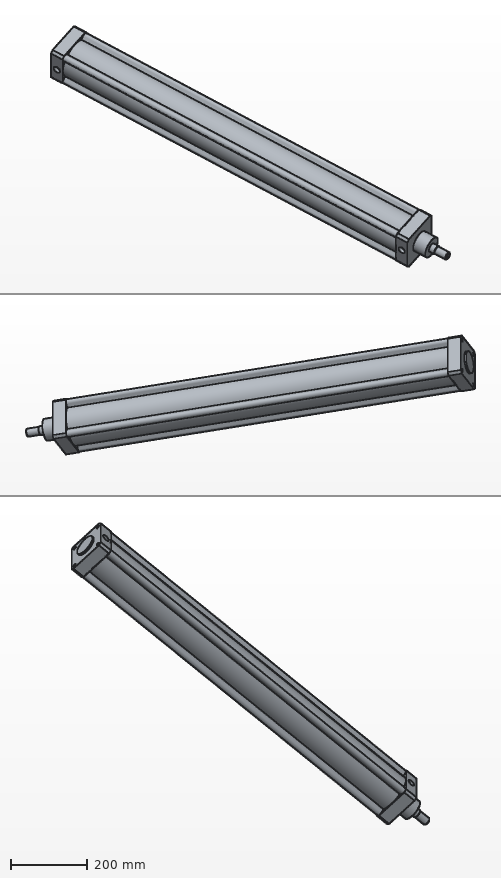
import cadquery as cq
import math

TOTAL_LENGTH = 1233.0
COVER_SIDE = 112.0
COVER_LENGTH = 37.0
COVER_CHAMFER = 7.0
SPIGOT_LENGTH = 5.0
SPIGOT_RADIUS = 30.0
BARREL_LENGTH = 1063.0
BARREL_RADIUS = 54.0
BOSS_LENGTH = 38.0

RIB_OFFSET = 46.0
RIB_RADIUS = 9.2

SCREW_OFFSET = 45.0
SCREW_HOLE_RADIUS = 4.3
SCREW_HOLE_DEPTH = 11.0
PORT_RADIUS = 10.0
PORT_DEPTH = 12.0
PORT_HEIGHT = 5.5

ROD_RADIUS = 12.0
ROD_STICK_OUT = 17.0
SHOULDER_CHAMFER = 1.0
JOURNAL_RADIUS = 11.0
JOURNAL_CHAMFER = 2.0

rear_cover_start = SPIGOT_LENGTH
barrel_start = rear_cover_start + COVER_LENGTH
front_cover_start = barrel_start + BARREL_LENGTH
boss_start = front_cover_start + COVER_LENGTH
boss_end = boss_start + BOSS_LENGTH


def section_at(x):
    """Plane across the axis at station x, with local axes along +Y and +Z."""
    return cq.Workplane("YZ", origin=(x, 0, 0))


def cylinder(start, length, radius):
    return section_at(start).circle(radius).extrude(length)


def make_cover(start, port_height):
    """Square end cover with chamfered long edges and an air port in its -Y side."""
    cover = section_at(start).rect(COVER_SIDE, COVER_SIDE).extrude(COVER_LENGTH)
    cover = cover.edges("|X").chamfer(COVER_CHAMFER)
    port_centre = (start + COVER_LENGTH / 2, -COVER_SIDE / 2, port_height)
    port = cq.Workplane("XZ", origin=port_centre).circle(PORT_RADIUS).extrude(-PORT_DEPTH)
    return cover.cut(port)


def make_rear_cover():
    cover = make_cover(rear_cover_start, -PORT_HEIGHT)
    cover = cover.union(cylinder(0, SPIGOT_LENGTH, SPIGOT_RADIUS))
    screw_holes = (
        section_at(rear_cover_start)
        .rect(2 * SCREW_OFFSET, 2 * SCREW_OFFSET, forConstruction=True)
        .vertices()
        .circle(SCREW_HOLE_RADIUS)
        .extrude(SCREW_HOLE_DEPTH)
    )
    return cover.cut(screw_holes)


def make_front_cover():
    cover = make_cover(front_cover_start, PORT_HEIGHT)
    cover = cover.union(cylinder(boss_start, BOSS_LENGTH, SPIGOT_RADIUS))
    rod_bore = cylinder(front_cover_start, boss_end - front_cover_start, ROD_RADIUS)
    return cover.cut(rod_bore)


def make_barrel():
    """Round barrel with a parallel-sided, round-nosed rib on each diagonal."""
    barrel = cylinder(barrel_start, BARREL_LENGTH, BARREL_RADIUS)
    rib_span = 2 * (RIB_OFFSET * math.sqrt(2) + RIB_RADIUS)
    for diagonal_angle in (45, 135):
        rib_pair = (
            section_at(barrel_start)
            .slot2D(rib_span, 2 * RIB_RADIUS, diagonal_angle)
            .extrude(BARREL_LENGTH)
        )
        barrel = barrel.union(rib_pair)
    return barrel


def make_rod():
    """Stepped rod that starts at the barrel face and ends in a chamfered journal."""
    shank_length = boss_end + ROD_STICK_OUT - front_cover_start
    shank = cylinder(front_cover_start, shank_length, ROD_RADIUS)
    shank = shank.faces(">X").chamfer(SHOULDER_CHAMFER)
    journal = cylinder(front_cover_start, TOTAL_LENGTH - front_cover_start, JOURNAL_RADIUS)
    journal = journal.faces(">X").chamfer(JOURNAL_CHAMFER)
    return shank.union(journal)


rear_cover = make_rear_cover()
barrel = make_barrel()
front_cover = make_front_cover()
rod = make_rod()

result = cq.Compound.makeCompound([rear_cover.val(), barrel.val(), front_cover.val(), rod.val()])